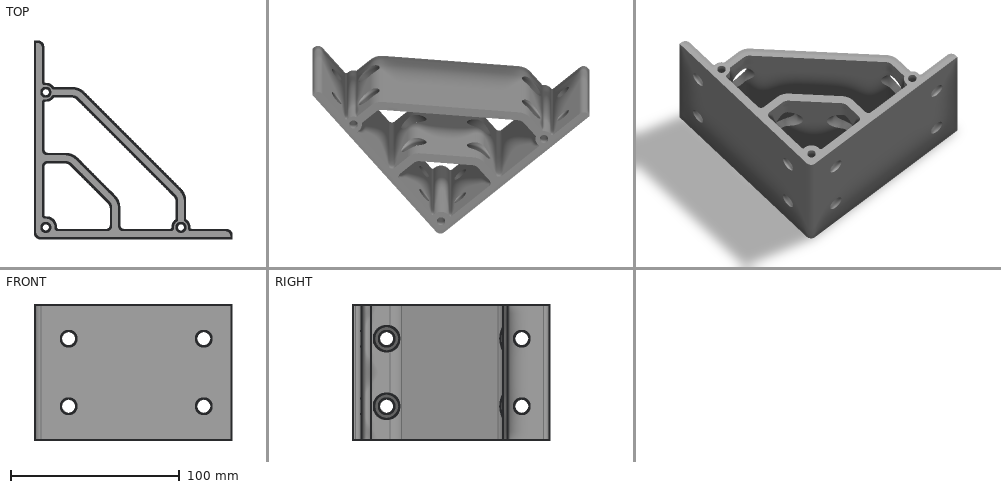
import cadquery as cq
import math

leg_length = 116.5
height = 80.0
wall = 5.0
corner_radius = 3.5
tip_radius = 3.5

bore_diameter = 5.0
boss_inset = 6.5
boss_spacing = 80.0
corner_boss_radius = 6.0
rib_boss_radius = 5.0
boss_fillet = 1.0

rib_thickness = 5.0
outer_rib_reach = boss_inset + boss_spacing + rib_thickness / 2
outer_rib_bend = 26.0
inner_rib_reach = 50.0
inner_rib_bend = 22.0
rib_outer_bend_radius = 10.0
rib_inner_bend_radius = rib_outer_bend_radius - rib_thickness
rib_root_fillet = 2.5
bend_angle = 45.0

mount_diameter = 9.0
access_diameter = 15.0
mount_spacing = 80.0
near_mount = 20.0
mount_heights = (20.0, 60.0)
access_start = boss_inset + corner_boss_radius

far_boss = boss_inset + boss_spacing
corner_boss_centre = (boss_inset, boss_inset)
rib_boss_centres = [(far_boss, boss_inset), (boss_inset, far_boss)]
boss_centres = [corner_boss_centre] + rib_boss_centres


def edge_at(x, y):
    """Selector for the vertical edge standing at (x, y)."""
    margin = 0.05
    return cq.selectors.BoxSelector(
        (x - margin, y - margin, 0), (x + margin, y + margin, height)
    )


def rib_region(reach, bend, bend_radius):
    """Solid filling the corner out to a rib face that bends at two 45 degree corners."""
    outline = [(0, 0), (reach, 0), (reach, bend), (bend, reach), (0, reach)]
    region = cq.Workplane("XY").polyline(outline).close().extrude(height)
    for x, y in ((reach, bend), (bend, reach)):
        region = region.edges(edge_at(x, y)).fillet(bend_radius)
    return region


def rib(reach, bend):
    """Constant-thickness rib with concentric rounded bends."""
    bend_shift = rib_thickness * math.tan(math.radians(bend_angle / 2))
    outside = rib_region(reach, bend, rib_outer_bend_radius)
    inside = rib_region(reach - rib_thickness, bend - bend_shift, rib_inner_bend_radius)
    return outside.cut(inside)


def legs():
    """The two plain walls, rounded at the outer corner and at the inner edge of each tip."""
    outline = [
        (0, 0), (leg_length, 0), (leg_length, wall),
        (wall, wall), (wall, leg_length), (0, leg_length),
    ]
    body = cq.Workplane("XY").polyline(outline).close().extrude(height)
    body = body.edges(edge_at(0, 0)).fillet(corner_radius)
    for x, y in ((leg_length, wall), (wall, leg_length)):
        body = body.edges(edge_at(x, y)).fillet(tip_radius)
    return body


def boss(centre, radius):
    return cq.Workplane("XY").center(*centre).circle(radius).extrude(height)


def fillet_mirrored(body, along, radius):
    """Fillet the wall edge at this distance along both legs."""
    for x, y in ((along, wall), (wall, along)):
        body = body.edges(edge_at(x, y)).fillet(radius)
    return body


def round_roots(body):
    """Fillet where the ribs and bosses meet the inner wall faces."""
    wall_offset = boss_inset - wall
    corner_half_width = math.sqrt(corner_boss_radius**2 - wall_offset**2)
    rib_half_width = math.sqrt(rib_boss_radius**2 - wall_offset**2)
    body = fillet_mirrored(body, inner_rib_reach, rib_root_fillet)
    body = fillet_mirrored(body, inner_rib_reach - rib_thickness, rib_root_fillet)
    body = fillet_mirrored(body, boss_inset + corner_half_width, boss_fillet)
    body = fillet_mirrored(body, far_boss - rib_half_width, boss_fillet)
    return fillet_mirrored(body, far_boss + rib_half_width, boss_fillet)


def drill(plane, diameter, along, level, start, length):
    """Cylinder along +Y ("XZ" plane) or +X ("YZ" plane), beginning at depth start."""
    direction = -1 if plane == "XZ" else 1
    return (
        cq.Workplane(plane)
        .workplane(offset=direction * start)
        .center(along, level)
        .circle(diameter / 2)
        .extrude(direction * length)
    )


def cut_mounting_holes(body):
    access_length = leg_length - access_start
    for plane in ("XZ", "YZ"):
        for level in mount_heights:
            for along in (near_mount, near_mount + mount_spacing):
                body = body.cut(drill(plane, mount_diameter, along, level, 0, wall))
            body = body.cut(
                drill(plane, access_diameter, near_mount, level, access_start, access_length)
            )
    return body


bracket = legs()
bracket = bracket.union(rib(outer_rib_reach, outer_rib_bend))
bracket = bracket.union(rib(inner_rib_reach, inner_rib_bend))
bracket = bracket.union(boss(corner_boss_centre, corner_boss_radius))
for centre in rib_boss_centres:
    bracket = bracket.union(boss(centre, rib_boss_radius))
bracket = round_roots(bracket)
bracket = bracket.cut(
    cq.Workplane("XY").pushPoints(boss_centres).circle(bore_diameter / 2).extrude(height)
)
result = cut_mounting_holes(bracket)